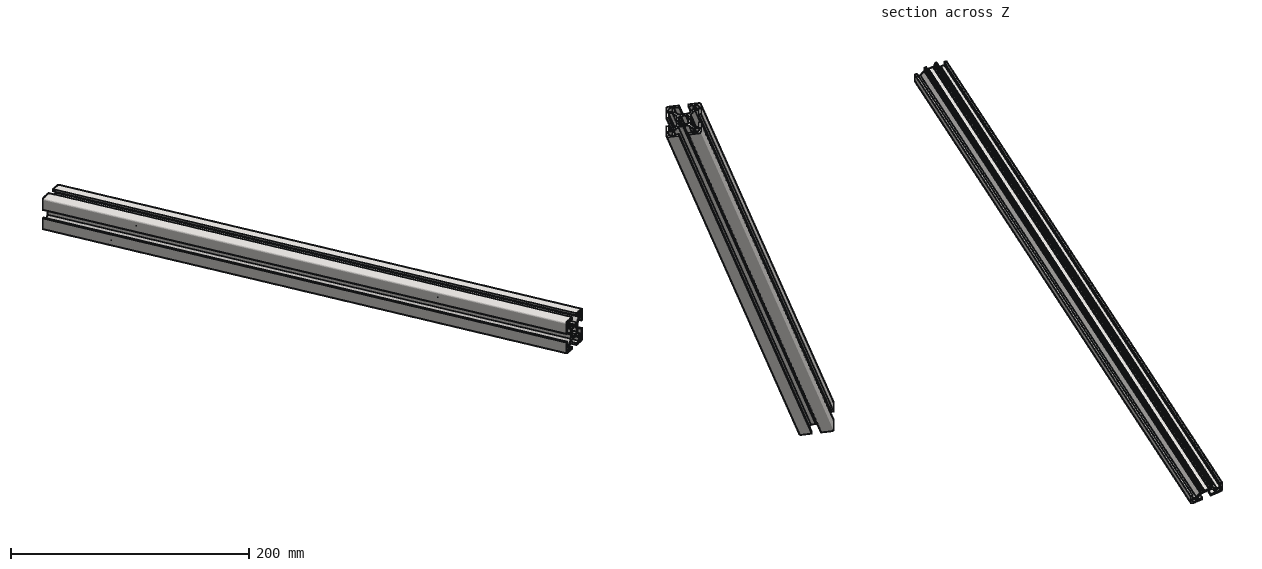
import cadquery as cq
import math

LENGTH = 495.3
SIZE = 30.0
CORNER_RADIUS = 2.0

SLOT_OPENING = 8.0
SLOT_INNER_WIDTH = 16.5
SLOT_DEPTH = 8.93
LIP_THICKNESS = 2.0

RIB_THICKNESS = 2.1

SCORE_WIDTH = 1.2
SCORE_DEPTH = 0.45

CAVITY_OUTER_WALL = 1.2
CAVITY_INNER_WALL = 1.4

BORE_DIAMETER = 8.4
LOBE_WIDTH = 2.3
LOBE_REACH = 5.3

HALF_SIZE = SIZE / 2
AXIS_START = (0, 0, 0)
AXIS_END = (1, 0, 0)


def section():
    """Cross-section plane at the -X end, with Y and Z as its axes."""
    return cq.Workplane("YZ", origin=(-LENGTH / 2, 0, 0))


def turned(body, angle):
    """The body turned about the long axis."""
    return body.rotate(AXIS_START, AXIS_END, angle)


def blank():
    bar = section().rect(SIZE, SIZE).extrude(LENGTH)
    return bar.edges("|X").fillet(CORNER_RADIUS)


def top_slot():
    """T-slot opening at +Z; its pocket narrows along the ribs to a scored floor."""
    floor = HALF_SIZE - SLOT_DEPTH
    ceiling = HALF_SIZE - LIP_THICKNESS
    wall = SLOT_INNER_WIDTH / 2
    opening = SLOT_OPENING / 2
    rib_offset = RIB_THICKNESS / math.sqrt(2)
    score_root = (0, floor - SCORE_DEPTH)
    right_side = [
        (SCORE_WIDTH / 2, floor),
        (floor - rib_offset, floor),
        (wall, wall + rib_offset),
        (wall, ceiling),
        (opening, ceiling),
        (opening, HALF_SIZE),
    ]
    left_side = [(-y, z) for y, z in reversed(right_side)]
    outline = [score_root] + right_side + left_side
    return section().polyline(outline).close().extrude(LENGTH)


def corner_cavity():
    """Quarter-round cavity in the +Y +Z corner."""
    inner = SLOT_INNER_WIDTH / 2 + CAVITY_INNER_WALL
    outer = HALF_SIZE - CAVITY_OUTER_WALL
    arc_middle = inner + (outer - inner) / math.sqrt(2)
    outline = (
        section()
        .moveTo(inner, inner)
        .lineTo(outer, inner)
        .threePointArc((arc_middle, arc_middle), (inner, outer))
        .close()
    )
    return outline.extrude(LENGTH)


def bore():
    """Round bore crossed by two diagonal grooves whose ends form the lobes."""
    hole = section().circle(BORE_DIAMETER / 2).extrude(LENGTH)
    groove = section().rect(2 * LOBE_REACH, LOBE_WIDTH).extrude(LENGTH)
    for angle in (45, 135):
        hole = hole.union(turned(groove, angle))
    return hole


def extrusion():
    bar = blank().cut(bore())
    slot = top_slot()
    cavity = corner_cavity()
    for angle in (0, 90, 180, 270):
        bar = bar.cut(turned(slot, angle)).cut(turned(cavity, angle))
    return bar


result = extrusion()